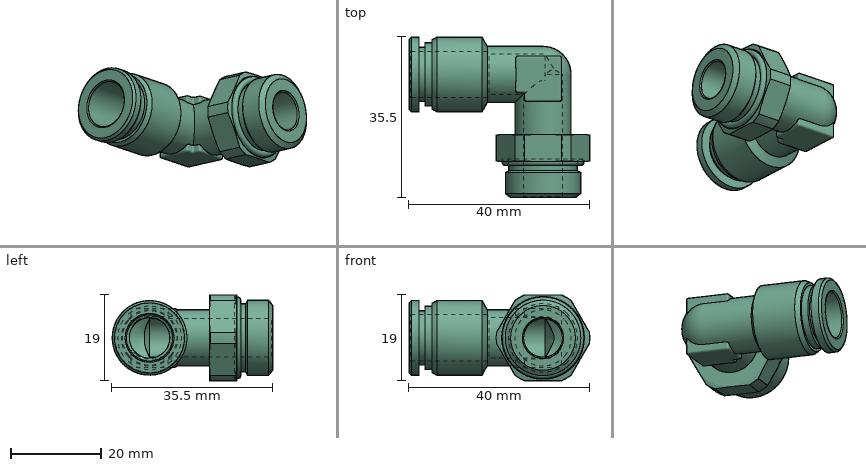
import cadquery as cq
import math


leg_radius = 6.25
drill_tip_angle = 118

pad_half_height = 6.5
pad_outer = 4.07
pad_arm_end = 6.05
pad_edge_radius = 0.48
pad_notch_radius = 0.35

tube_end = 29.6
sleeve_radius = 8.25
collar_length = 2.25
collar_chamfer = 0.5
collar_neck_radius = 6.05
collar_neck_length = 1.28
inner_ring_radius = 7.03
inner_ring_length = 1.5
sleeve_start = tube_end - collar_length - collar_neck_length - inner_ring_length
sleeve_length = 12.25
sleeve_chamfer_length = 1.1
sleeve_chamfer_depth = 0.6
sleeve_taper_length = 1.15

tube_bore_radius = 5.1
tube_bore_chamfer = 0.28
tube_bore_depth = tube_end - sleeve_start + sleeve_length
tube_passage_radius = 4.47
tube_passage_overrun = 0.45

thread_end = 27.25
thread_radius = 8.35
thread_chamfer_length = 0.9
thread_chamfer_depth = 1.2
thread_start = 21.7
thread_neck_radius = 7.6
thread_runout_angle = 30
thread_passage_radius = 4.27
thread_passage_chamfer = 0.28

hex_flats = 19.0
hex_corner_radius = 10.35
hex_start = 13.22
hex_end = 19.3
hex_face_radius = 9.43
hex_chamfer_length = 0.2

seal_wire_radius = 0.7
seal_ring_radius = thread_neck_radius + seal_wire_radius
seal_offset = 0.15
seal_centre = hex_end + seal_offset
seal_recess_radius = 9.15
seal_recess_floor = seal_centre - seal_wire_radius


def drill_tip_length(radius):
    return radius / math.tan(math.radians(drill_tip_angle / 2))


def turned_along_x(points):
    """Turn a closed outline of (distance towards -X, radius) points about the X axis."""
    outline = [(-distance, radius) for distance, radius in points]
    return cq.Workplane("XY").polyline(outline).close().revolve(360, (0, 0), (1, 0))


def turned_along_y(points):
    """Turn a closed outline of (distance towards -Y, radius) points about the Y axis."""
    outline = [(radius, -distance) for distance, radius in points]
    return cq.Workplane("XY").polyline(outline).close().revolve(360, (0, 0), (0, 1))


def make_tube_leg():
    collar_back = tube_end - collar_length
    ring_front = collar_back - collar_neck_length
    sleeve_end = sleeve_start - sleeve_length
    return turned_along_x([
        (0, 0),
        (0, leg_radius),
        (sleeve_end, leg_radius),
        (sleeve_end + sleeve_taper_length, sleeve_radius),
        (sleeve_start - sleeve_chamfer_length, sleeve_radius),
        (sleeve_start, sleeve_radius - sleeve_chamfer_depth),
        (sleeve_start, inner_ring_radius),
        (ring_front, inner_ring_radius),
        (ring_front, collar_neck_radius),
        (collar_back, collar_neck_radius),
        (collar_back, sleeve_radius),
        (tube_end - collar_chamfer, sleeve_radius),
        (tube_end, sleeve_radius - collar_chamfer),
        (tube_end, 0),
    ])


def make_thread_leg():
    runout_height = thread_radius - thread_neck_radius
    neck_end = thread_start - runout_height * math.tan(math.radians(thread_runout_angle))
    return turned_along_y([
        (0, 0),
        (0, leg_radius),
        (seal_recess_floor, leg_radius),
        (seal_recess_floor, thread_neck_radius),
        (neck_end, thread_neck_radius),
        (thread_start, thread_radius),
        (thread_end - thread_chamfer_length, thread_radius),
        (thread_end, thread_radius - thread_chamfer_depth),
        (thread_end, 0),
    ])


def make_hexagon():
    across_corners = hex_flats / math.cos(math.radians(30))
    prism = (
        cq.Workplane("XZ", origin=(0, -hex_start, 0))
        .polygon(6, across_corners)
        .extrude(hex_end - hex_start)
    )
    rounded_blank = turned_along_y([
        (hex_start, 0),
        (hex_start, hex_face_radius),
        (hex_start + hex_chamfer_length, hex_corner_radius),
        (hex_end - hex_chamfer_length, hex_corner_radius),
        (hex_end, hex_face_radius),
        (hex_end, 0),
    ])
    seal_recess = turned_along_y([
        (seal_recess_floor, thread_neck_radius),
        (seal_recess_floor, seal_recess_radius),
        (hex_end, seal_recess_radius),
        (hex_end, thread_neck_radius),
    ])
    return prism.intersect(rounded_blank).cut(seal_recess)


def make_pads():
    """L-shaped block through the elbow, standing out above and below it."""
    notch_corner = (-pad_outer, -pad_outer)
    outline = [
        (pad_outer, pad_outer),
        (-pad_arm_end, pad_outer),
        (-pad_arm_end, -pad_outer),
        notch_corner,
        (-pad_outer, -pad_arm_end),
        (pad_outer, -pad_arm_end),
    ]
    notch_edge = cq.selectors.NearestToPointSelector((*notch_corner, 0))
    block = (
        cq.Workplane("XY", origin=(0, 0, -pad_half_height))
        .polyline(outline)
        .close()
        .extrude(2 * pad_half_height)
    )
    block = block.edges(notch_edge).fillet(pad_notch_radius)
    convex_corners = [corner for corner in outline if corner != notch_corner]
    for x, y in convex_corners:
        corner_edge = cq.selectors.NearestToPointSelector((x, y, 0))
        block = block.edges(corner_edge).fillet(pad_edge_radius)
    return block.faces("|Z").edges().fillet(pad_edge_radius)


def make_tube_bore():
    step_end = tube_end - tube_bore_depth
    step_length = drill_tip_length(tube_bore_radius - tube_passage_radius)
    tip_end = -tube_passage_overrun - drill_tip_length(tube_passage_radius)
    return turned_along_x([
        (tip_end, 0),
        (-tube_passage_overrun, tube_passage_radius),
        (step_end - step_length, tube_passage_radius),
        (step_end, tube_bore_radius),
        (tube_end - tube_bore_chamfer, tube_bore_radius),
        (tube_end, tube_bore_radius + tube_bore_chamfer),
        (tube_end, 0),
    ])


def make_thread_bore():
    return turned_along_y([
        (-drill_tip_length(thread_passage_radius), 0),
        (0, thread_passage_radius),
        (thread_end - thread_passage_chamfer, thread_passage_radius),
        (thread_end, thread_passage_radius + thread_passage_chamfer),
        (thread_end, 0),
    ])


def make_elbow():
    outer_corner = cq.Workplane("XY").sphere(leg_radius)
    solid = make_tube_leg().union(make_thread_leg()).union(outer_corner)
    solid = solid.union(make_hexagon()).union(make_pads())
    return solid.cut(make_tube_bore()).cut(make_thread_bore())


def make_seal_ring():
    return cq.Workplane(
        cq.Solid.makeTorus(
            seal_ring_radius, seal_wire_radius, cq.Vector(0, -seal_centre, 0), cq.Vector(0, -1, 0)
        )
    )


elbow = make_elbow()
seal_ring = make_seal_ring()

result = cq.Compound.makeCompound([elbow.val(), seal_ring.val()])